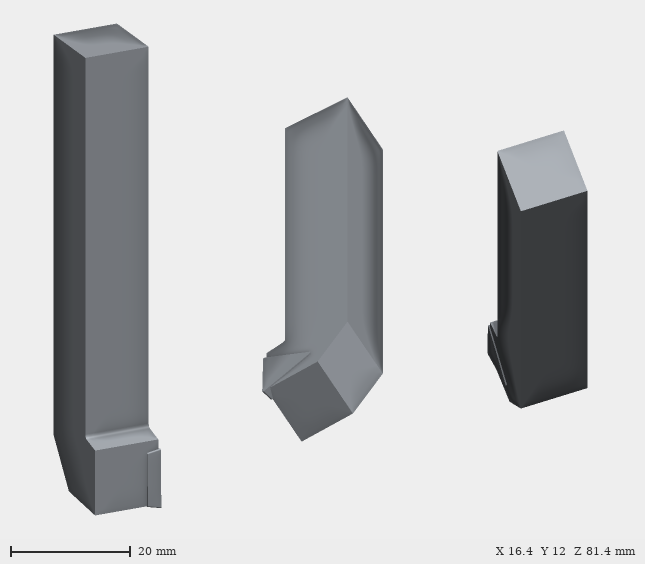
import cadquery as cq
import math

total_length = 81.35
total_width = 16.35
total_depth = 12.0

insert_proud = 0.25
holder_depth = total_depth - insert_proud
shank_width = 12.0
head_width = 15.7
head_top_z = 12.2
shoulder_angle = 15.0
shoulder_fillet = 0.8
chamfer_top_z = 9.5
heel_x = 5.8
heel_z = 1.5
nose_z = 0.6

inscribed_diameter = 6.35
insert_thickness = 2.35
clearance_angle = 7.0
corner_radius = 0.25
edge_tilt = 1.0
triangle_corners = 3
corner_angle = 180.0 / triangle_corners


def make_insert():
    """Tapered triangle with one rounded corner pointing down towards +X."""
    inner_radius = inscribed_diameter / 2 - corner_radius
    inner_circumradius = inner_radius / math.cos(math.radians(corner_angle))
    tip_to_center = math.radians(90 + edge_tilt + corner_angle / 2)
    center_x = total_width - corner_radius + inner_circumradius * math.cos(tip_to_center)
    center_z = corner_radius + inner_circumradius * math.sin(tip_to_center)

    circumradius = inscribed_diameter / 2 / math.cos(math.radians(corner_angle))
    corners = []
    for i in range(triangle_corners):
        angle = tip_to_center + math.pi + i * 2 * math.pi / triangle_corners
        corners.append((center_x + circumradius * math.cos(angle), center_z + circumradius * math.sin(angle)))

    blank = (
        cq.Workplane("XZ", origin=(0, total_depth, 0))
        .polyline(corners)
        .close()
        .extrude(insert_thickness, taper=clearance_angle)
    )
    return blank.edges("not #Y").fillet(corner_radius)


def make_holder(insert):
    """Shank and head in one profile, with a pocket that matches the insert."""
    shoulder_z = head_top_z + (head_width - shank_width) * math.tan(math.radians(shoulder_angle))
    outline = [
        (0, total_length),
        (0, chamfer_top_z),
        (heel_x, heel_z),
        (head_width, nose_z),
        (head_width, head_top_z),
        (shank_width, shoulder_z),
        (shank_width, total_length),
    ]
    blank = cq.Workplane("XZ").polyline(outline).close().extrude(-holder_depth)
    inner_corner = cq.selectors.NearestToPointSelector((shank_width, holder_depth / 2, shoulder_z))
    filleted = blank.edges("|Y").edges(inner_corner).fillet(shoulder_fillet)
    return filleted.cut(insert).solids()


insert = make_insert()
holder = make_holder(insert)

result = cq.Compound.makeCompound([holder.val(), insert.val()])